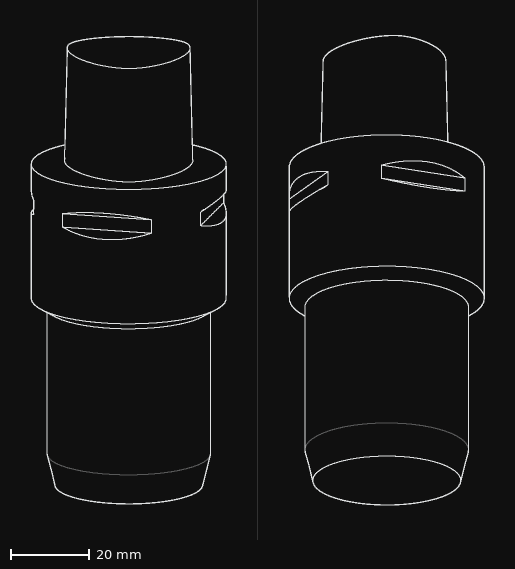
import cadquery as cq
import math

TOTAL_HEIGHT = 115.0
FLANGE_TOP = 85.1
FLANGE_BOTTOM = 49.5
BODY_TOP = 47.0
TIP_CHAMFER_HEIGHT = 8.3

FLANGE_DIAMETER = 50.0
BODY_DIAMETER = 42.0
TIP_DIAMETER = 38.0

SHANK_BASE_WIDTH = 32.9
SHANK_TOP_WIDTH = 31.5
LOBE_HEIGHT = 1.2
LOBE_COUNT = 3
SHANK_CURVE_POINTS = 60

GROOVE_COUNT = 4
GROOVE_START_ANGLE = 45.0
GROOVE_CENTER_HEIGHT = 75.1
GROOVE_FLOOR_HEIGHT = 3.6
GROOVE_FLOOR_DISTANCE = 22.1
GROOVE_WALL_ANGLE = 30.0
GROOVE_OVERCUT = 1.2


def make_round_body():
    """Revolve the stepped body about Z."""
    flange_radius = FLANGE_DIAMETER / 2
    body_radius = BODY_DIAMETER / 2
    profile = [
        (0, 0),
        (TIP_DIAMETER / 2, 0),
        (body_radius, TIP_CHAMFER_HEIGHT),
        (body_radius, BODY_TOP),
        (flange_radius, FLANGE_BOTTOM),
        (flange_radius, FLANGE_TOP),
        (0, FLANGE_TOP),
    ]
    return cq.Workplane("XZ").polyline(profile).close().revolve(360, (0, 0), (0, 1))


def shank_section(width):
    """Return points of a rounded, constant-width triangle starting on its -Y side."""
    points = []
    for i in range(SHANK_CURVE_POINTS):
        angle = 2 * math.pi * i / SHANK_CURVE_POINTS - math.pi / 2
        lobe_phase = LOBE_COUNT * (angle - math.pi / 2)
        reach = width / 2 + LOBE_HEIGHT * math.cos(lobe_phase)
        reach_slope = -LOBE_COUNT * LOBE_HEIGHT * math.sin(lobe_phase)
        x = reach * math.cos(angle) - reach_slope * math.sin(angle)
        y = reach * math.sin(angle) + reach_slope * math.cos(angle)
        points.append((x, y))
    return points


def make_shank():
    """Loft the tapered shank from the flange face to the top."""
    return (
        cq.Workplane("XY", origin=(0, 0, FLANGE_TOP))
        .spline(shank_section(SHANK_BASE_WIDTH), periodic=True).close()
        .workplane(offset=TOTAL_HEIGHT - FLANGE_TOP)
        .spline(shank_section(SHANK_TOP_WIDTH), periodic=True).close()
        .loft(ruled=True, combine=True)
    )


def make_groove_cutter():
    """Make a straight trapezoidal cutter facing +X, flaring outward from its flat floor."""
    outer_distance = FLANGE_DIAMETER / 2 + GROOVE_OVERCUT
    flare = (outer_distance - GROOVE_FLOOR_DISTANCE) * math.tan(math.radians(GROOVE_WALL_ANGLE))
    half_floor = GROOVE_FLOOR_HEIGHT / 2
    half_mouth = half_floor + flare
    profile = [
        (GROOVE_FLOOR_DISTANCE, GROOVE_CENTER_HEIGHT - half_floor),
        (outer_distance, GROOVE_CENTER_HEIGHT - half_mouth),
        (outer_distance, GROOVE_CENTER_HEIGHT + half_mouth),
        (GROOVE_FLOOR_DISTANCE, GROOVE_CENTER_HEIGHT + half_floor),
    ]
    return cq.Workplane("XZ").polyline(profile).close().extrude(FLANGE_DIAMETER / 2, both=True)


result = make_round_body().union(make_shank())
groove_cutter = make_groove_cutter()
for i in range(GROOVE_COUNT):
    groove_angle = GROOVE_START_ANGLE + i * 360 / GROOVE_COUNT
    result = result.cut(groove_cutter.rotate((0, 0, 0), (0, 0, 1), groove_angle))